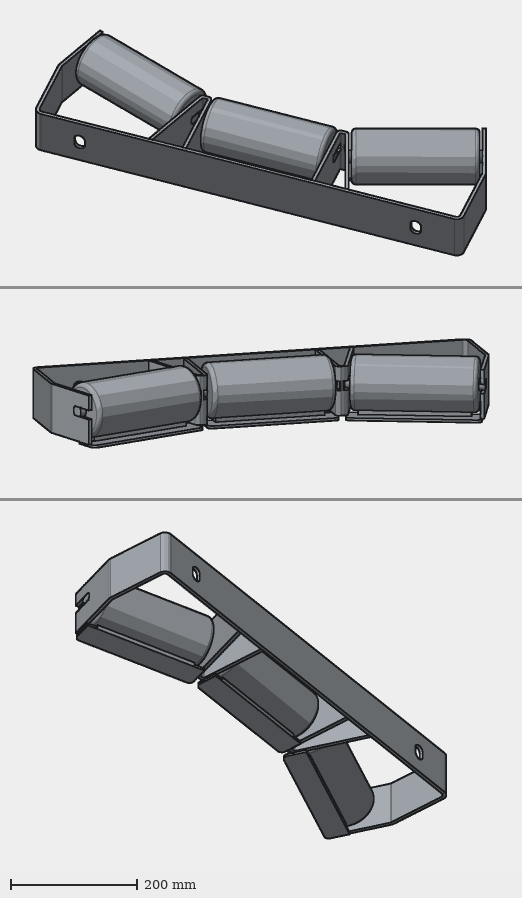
import cadquery as cq
import math

frame_width = 720.0
frame_height = 80.0
sheet = 6.0
frame_bend_radius = 12.0
arm_tip_y = 210.6
mounting_slot_spacing = 566.0
mounting_slot_width = 18.0
mounting_slot_height = 27.0
mounting_slot_z = 40.0

trough_angle = 20.0
axis_z = 48.5
middle_axis_y = 100.0
side_center_x = 231.0
side_center_y = 143.0
roller_diameter = 89.0
roller_length = 203.0
roller_edge_radius = 7.0
support_gap = 211.0
hub_diameter = 20.0
shaft_flat_height = 15.0

plate_length = 216.0
plate_width = 40.0
plate_thickness = 4.5
plate_corner_radius = 8.0
pad_length = 180.0
pad_width = 16.0

cut_clearance = 1.0

bracket_top_y = 128.0
bracket_bend_radius = 7.0

slope_sin = math.sin(math.radians(trough_angle))
slope_cos = math.cos(math.radians(trough_angle))


def on_side_roller(along, across):
    """Point given along and across the left roller's axis, measured from its middle."""
    x = -side_center_x + along * slope_cos + across * slope_sin
    y = side_center_y - along * slope_sin + across * slope_cos
    return (x, y)


def x_on_slope(along, y):
    """X where the sheet face at this distance along the left roller's axis reaches the given y."""
    across = (y - side_center_y + along * slope_sin) / slope_cos
    return on_side_roller(along, across)[0]


def y_on_slope(along, x):
    """Y where the sheet face at this distance along the left roller's axis reaches the given x."""
    across = (x + side_center_x - along * slope_cos) / slope_sin
    return on_side_roller(along, across)[1]


def place_at_rollers(make):
    """Left, middle and right copies of a shape built about an X axis through the origin."""
    left = make().rotate((0, 0, 0), (0, 0, 1), -trough_angle)
    left = left.translate((-side_center_x, side_center_y, axis_z))
    middle = make().translate((0, middle_axis_y, axis_z))
    right = left.mirror("YZ")
    return [left, middle, right]


def centered_cylinder(diameter, length):
    start = cq.Workplane("YZ", origin=(-length / 2, 0, 0))
    return start.circle(diameter / 2).extrude(length)


def make_roller():
    """Roller with its hubs, flattened shaft ends and the plate joined on by a pad."""
    shaft_length = support_gap + 2 * sheet
    shell = centered_cylinder(roller_diameter, roller_length).edges("%CIRCLE").fillet(roller_edge_radius)
    hub = centered_cylinder(hub_diameter, support_gap)
    flats = cq.Workplane("XY").box(shaft_length, hub_diameter, shaft_flat_height)
    shaft = centered_cylinder(hub_diameter, shaft_length).intersect(flats)
    plate = (
        cq.Workplane("XY", origin=(0, plate_width / 2, -axis_z))
        .rect(plate_length, plate_width)
        .extrude(-plate_thickness)
        .edges("|Z and >Y")
        .fillet(plate_corner_radius)
    )
    pad = (
        cq.Workplane("XY", origin=(0, pad_width / 2, -axis_z))
        .rect(pad_length, pad_width)
        .extrude(axis_z - hub_diameter / 2)
    )
    return shell.union(hub).union(shaft).union(pad).union(plate)


def make_shaft_slot():
    """Slot cutter: fits the flattened shaft at its closed end and is open toward +Y."""
    cut_length = support_gap + 2 * sheet + 2 * cut_clearance
    round_end = centered_cylinder(hub_diameter, cut_length)
    open_run = cq.Workplane("XY").box(cut_length, roller_diameter, hub_diameter)
    open_run = open_run.translate((0, roller_diameter / 2, 0))
    height_limit = cq.Workplane("XY").box(cut_length, 3 * roller_diameter, shaft_flat_height)
    return round_end.union(open_run).intersect(height_limit)


def round_bend(body, point, radius):
    """Fillet the upright edge that stands at the given (x, y) point."""
    x, y = point
    reach = 1.0
    around_edge = cq.selectors.BoxSelector((x - reach, y - reach, 0), (x + reach, y + reach, frame_height))
    return body.edges("|Z").edges(around_edge).fillet(radius)


def make_frame(slots):
    """Strip frame: front wall, two end walls and the arms slanted inward, with slots for the shafts."""
    outer_x = -frame_width / 2
    inner_x = outer_x + sheet
    inner_face = -support_gap / 2
    outer_face = inner_face - sheet
    tip_across = (arm_tip_y - side_center_y + outer_face * slope_sin) / slope_cos

    outer_front = (outer_x, 0)
    outer_side = (outer_x, y_on_slope(outer_face, outer_x))
    inner_front = (inner_x, sheet)
    inner_side = (inner_x, y_on_slope(inner_face, inner_x))
    half_outline = [
        (0, 0),
        (0, sheet),
        inner_front,
        inner_side,
        on_side_roller(inner_face, tip_across),
        on_side_roller(outer_face, tip_across),
        outer_side,
        outer_front,
    ]
    half = cq.Workplane("XY").polyline(half_outline).close().extrude(frame_height)
    for point in (outer_front, outer_side):
        half = round_bend(half, point, frame_bend_radius)
    for point in (inner_front, inner_side):
        half = round_bend(half, point, frame_bend_radius - sheet)
    frame = half.union(half.mirror("YZ"))

    mounting_slots = (
        cq.Workplane("XZ", origin=(0, 0, mounting_slot_z))
        .pushPoints([(-mounting_slot_spacing / 2, 0), (mounting_slot_spacing / 2, 0)])
        .slot2D(mounting_slot_height, mounting_slot_width, 90)
        .extrude(-sheet)
    )
    frame = frame.cut(mounting_slots)
    for slot in slots:
        frame = frame.cut(slot)
    return frame


def bracket_block(inset, bend_radius):
    """Solid between the left bracket's two legs and its fold, drawn in from the outside by the inset."""
    slope_face = support_gap / 2 + inset
    upright_x = -support_gap / 2 - inset
    top = bracket_top_y - inset
    outline = [
        (x_on_slope(slope_face, sheet), sheet),
        (x_on_slope(slope_face, top), top),
        (upright_x, top),
        (upright_x, sheet),
    ]
    block = cq.Workplane("XY").polyline(outline).close().extrude(frame_height)
    return block.edges("|Z and >Y").fillet(bend_radius)


def make_left_bracket(slots):
    """Sheet folded into a slanted leg and a straight leg, both standing on the frame's front wall."""
    outside = bracket_block(0, bracket_bend_radius)
    inside = bracket_block(sheet, bracket_bend_radius - sheet)
    bracket = outside.cut(inside)
    for slot in slots:
        bracket = bracket.cut(slot)
    return bracket


rollers = place_at_rollers(make_roller)
left_slot, middle_slot, right_slot = place_at_rollers(make_shaft_slot)
frame = make_frame([left_slot, right_slot])
left_bracket = make_left_bracket([left_slot, middle_slot])
right_bracket = left_bracket.mirror("YZ")
result = cq.Compound.makeCompound(
    [frame.val(), left_bracket.val(), right_bracket.val()] + [roller.val() for roller in rollers]
)